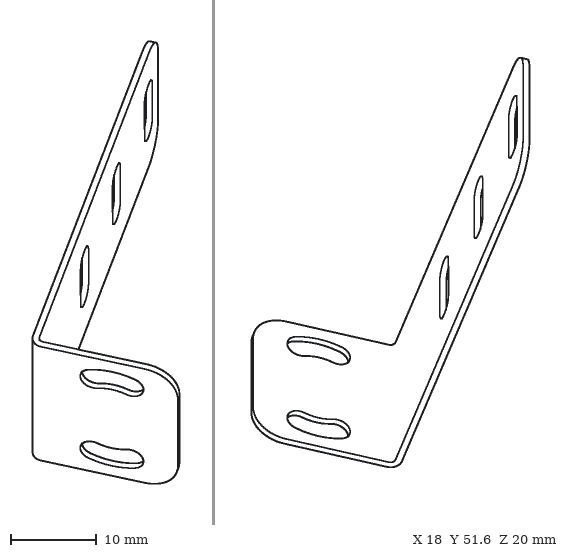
import cadquery as cq
import math

thickness = 0.8
bend_outer_radius = 1.4
bend_inner_radius = bend_outer_radius - thickness
short_leg = 18.0
long_leg = 51.6
height = 20.0
corner_radius = 4.0
mid_height = height / 2

slot_width = 3.3
slot_length = 9.2
slot_count = 3
slot_pitch = 13.5
end_slot_inset = 4.1

pivot_x = 10.0
curved_slot_radius = 6.7
curved_slot_width = 3.1
curved_slot_half_angle = 20.0
curved_slot_angles = (90, 270)


def make_bent_sheet():
    """L-shaped sheet with its outer faces on X = 0 and Y = 0."""
    sheet = (
        cq.Workplane("XY")
        .polyline([
            (0, 0),
            (short_leg, 0),
            (short_leg, thickness),
            (thickness, thickness),
            (thickness, long_leg),
            (0, long_leg),
        ])
        .close()
        .extrude(height)
    )
    sheet = sheet.edges(
        cq.selectors.NearestToPointSelector((thickness, thickness, mid_height))
    ).fillet(bend_inner_radius)
    return sheet.edges(
        cq.selectors.NearestToPointSelector((0, 0, mid_height))
    ).fillet(bend_outer_radius)


def round_free_corners(sheet):
    """Round the two corners at the free end of each leg."""
    sheet = sheet.faces(">X").edges("|Y").fillet(corner_radius)
    return sheet.faces(">Y").edges("|X").fillet(corner_radius)


def make_straight_slots():
    """Cutters for the upright slots, spaced from the free end of the long leg."""
    centres = [
        (long_leg - end_slot_inset - i * slot_pitch, mid_height)
        for i in range(slot_count)
    ]
    return (
        cq.Workplane("YZ")
        .pushPoints(centres)
        .slot2D(slot_length, slot_width, 90)
        .extrude(thickness)
    )


def make_curved_slot(middle_angle):
    """Cutter for a round-ended arc slot centred on the given angle about the pivot."""
    inner_radius = curved_slot_radius - curved_slot_width / 2
    outer_radius = curved_slot_radius + curved_slot_width / 2
    start_angle = middle_angle - curved_slot_half_angle
    end_angle = middle_angle + curved_slot_half_angle

    def polar(radius, degrees):
        angle = math.radians(degrees)
        return (pivot_x + radius * math.cos(angle), mid_height + radius * math.sin(angle))

    def end_tip(degrees, side):
        """Tip of the rounded end, half a slot width beyond the end centre."""
        x, z = polar(curved_slot_radius, degrees)
        tangent = math.radians(degrees + side * 90)
        reach = curved_slot_width / 2
        return (x + reach * math.cos(tangent), z + reach * math.sin(tangent))

    return (
        cq.Workplane("XZ")
        .moveTo(*polar(outer_radius, start_angle))
        .threePointArc(polar(outer_radius, middle_angle), polar(outer_radius, end_angle))
        .threePointArc(end_tip(end_angle, 1), polar(inner_radius, end_angle))
        .threePointArc(polar(inner_radius, middle_angle), polar(inner_radius, start_angle))
        .threePointArc(end_tip(start_angle, -1), polar(outer_radius, start_angle))
        .close()
        .extrude(-thickness)
    )


result = round_free_corners(make_bent_sheet())
result = result.cut(make_straight_slots())
for slot_angle in curved_slot_angles:
    result = result.cut(make_curved_slot(slot_angle))